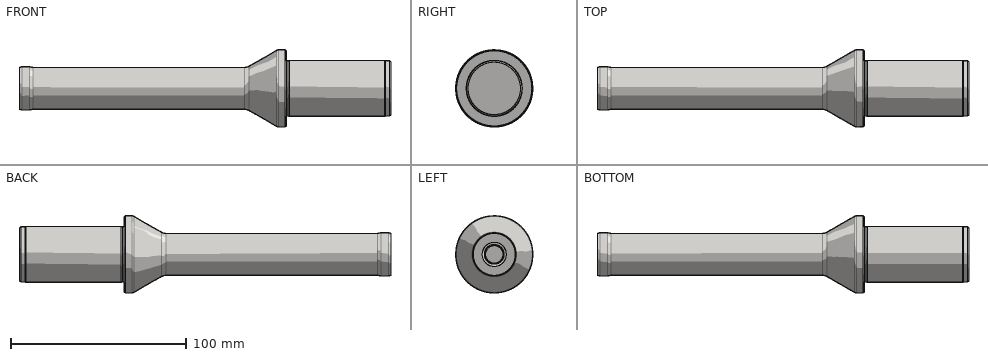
import cadquery as cq
import math

LENGTH = 212.0
TIP_DIA = 24.8
SHAFT_DIA = 24.0
FLANGE_DIA = 44.0
SHANK_DIA = 32.0
RELIEF_DIA = 31.5

TIP_LAND_END = 6.0
TIP_TAPER_END = 7.8
TIP_LEAD_LENGTH = 1.5
TIP_LEAD_DEPTH = 0.5

CONE_ANGLE = 30.0
CONE_END = 147.1
FLANGE_BACK = 152.2
NECK_RADIUS = 5.0
FLANGE_FRONT_RADIUS = 2.5
FLANGE_BACK_CHAMFER = 0.6

NECK_RELIEF_LENGTH = 1.0
SHANK_TAPER_LENGTH = 0.6
END_LAND_LENGTH = 3.2
END_CHAMFER = 0.8

PLUG_DIA = 11.2
PLUG_LENGTH = 10.5
PLUG_CHAMFER = 0.6
COUNTERSINK_DIA = 13.8
COUNTERSINK_DEPTH = 0.5

cone_length = (FLANGE_DIA - SHAFT_DIA) / 2 / math.tan(math.radians(CONE_ANGLE))
cone_start = CONE_END - cone_length
shank_start = FLANGE_BACK + NECK_RELIEF_LENGTH
end_land_start = LENGTH - END_LAND_LENGTH


def revolve_about_x(points):
    """Turn a closed (x, radius) outline into a solid of revolution about X."""
    return cq.Workplane("XY").polyline(points).close().revolve(360, (0, 0, 0), (1, 0, 0))


def circular_edge(x, diameter):
    """Select the edge of a given diameter at a given place along the axis."""
    margin = 0.02
    reach = diameter / 2 + margin
    return cq.selectors.BoxSelector(
        (x - margin, -reach, -reach), (x + margin, reach, reach), boundingbox=True
    )


def make_plug():
    """Cylindrical plug with a chamfered outer face, flush with the tip."""
    plug = cq.Workplane("YZ").circle(PLUG_DIA / 2).extrude(PLUG_LENGTH)
    return plug.faces("<X").chamfer(PLUG_CHAMFER)


def make_pin():
    """Turned pin with a guide tip, slim shaft, conical flange and shank."""
    pin = revolve_about_x([
        (0, 0),
        (0, TIP_DIA / 2 - TIP_LEAD_DEPTH),
        (TIP_LEAD_LENGTH, TIP_DIA / 2),
        (TIP_LAND_END, TIP_DIA / 2),
        (TIP_TAPER_END, SHAFT_DIA / 2),
        (cone_start, SHAFT_DIA / 2),
        (CONE_END, FLANGE_DIA / 2),
        (FLANGE_BACK, FLANGE_DIA / 2),
        (FLANGE_BACK, RELIEF_DIA / 2),
        (shank_start, RELIEF_DIA / 2),
        (shank_start + SHANK_TAPER_LENGTH, SHANK_DIA / 2),
        (end_land_start - SHANK_TAPER_LENGTH, SHANK_DIA / 2),
        (end_land_start, RELIEF_DIA / 2),
        (LENGTH, RELIEF_DIA / 2),
        (LENGTH, 0),
    ])
    pin = pin.edges(circular_edge(cone_start, SHAFT_DIA)).fillet(NECK_RADIUS)
    pin = pin.edges(circular_edge(CONE_END, FLANGE_DIA)).fillet(FLANGE_FRONT_RADIUS)
    back_rim = circular_edge(FLANGE_BACK, FLANGE_DIA) - circular_edge(FLANGE_BACK, RELIEF_DIA)
    pin = pin.edges(back_rim).chamfer(FLANGE_BACK_CHAMFER)
    pin = pin.edges(circular_edge(LENGTH, RELIEF_DIA)).chamfer(END_CHAMFER)

    bore = revolve_about_x([
        (0, 0),
        (0, COUNTERSINK_DIA / 2),
        (COUNTERSINK_DEPTH, PLUG_DIA / 2),
        (PLUG_LENGTH, PLUG_DIA / 2),
        (PLUG_LENGTH, 0),
    ])
    return pin.cut(bore)


pin = make_pin()
plug = make_plug()

result = cq.Compound.makeCompound([pin.val(), plug.val()])